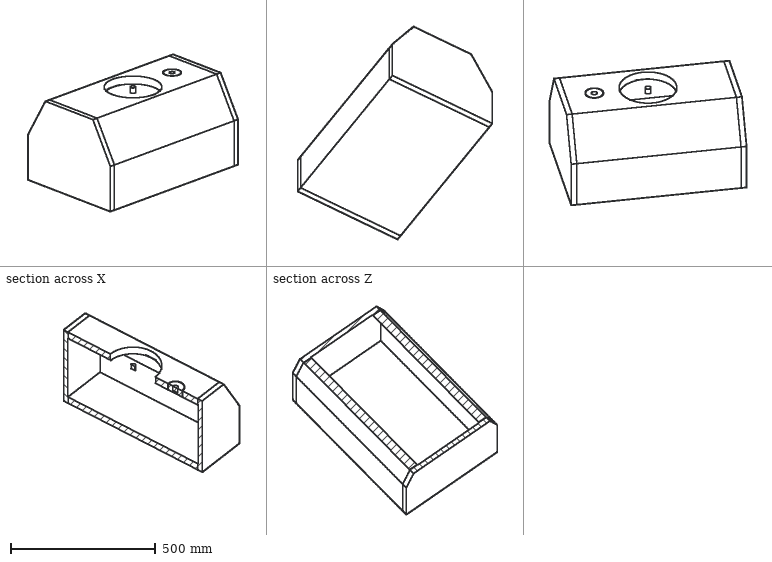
import cadquery as cq
import math

width = 410.0
length = 620.0
height = 320.0

side_height = 170.0
slope_angle = math.radians(60)
slope_inset = (height - side_height) / math.tan(slope_angle)
wall = 30.0
end_thickness = 20.0
shell_length = length - 2 * end_thickness

woofer_diameter = 200.0
woofer_y = 0.0
tweeter_y = 190.0
ring_outer_diameter = 64.5
ring_thickness = 2.0
disc_diameter = ring_outer_diameter - 2 * ring_thickness

pin_diameter = 20.0
pin_height = 20.0


def cabinet_profile():
    """Half-hexagon-like outline, centred on X and standing on Z = 0."""
    half_width = width / 2
    half_top = half_width - slope_inset
    return cq.Workplane("XZ").polyline([
        (-half_width, 0),
        (half_width, 0),
        (half_width, side_height),
        (half_top, height),
        (-half_top, height),
        (-half_width, side_height),
    ]).close()


def flush_cylinder(diameter, depth, y):
    """Upright cylinder whose upper end lies in the cabinet's top face."""
    return (
        cq.Workplane("XY", origin=(0, y, height - depth))
        .circle(diameter / 2)
        .extrude(depth)
    )


def make_shell():
    """Tube with even walls and two round openings through its top wall."""
    outer = cabinet_profile().extrude(shell_length / 2, both=True)
    cavity = cabinet_profile().offset2D(-wall).extrude(shell_length / 2, both=True)
    woofer_opening = flush_cylinder(woofer_diameter, wall, woofer_y)
    tweeter_opening = flush_cylinder(ring_outer_diameter, wall, tweeter_y)
    return outer.cut(cavity).cut(woofer_opening).cut(tweeter_opening)


def make_end_panel(front_y):
    """Solid panel that closes one end of the shell."""
    return cabinet_profile().extrude(-end_thickness).translate((0, front_y, 0))


def make_tweeter_ring():
    """Thin ring lining the small opening."""
    bore = flush_cylinder(disc_diameter, wall, tweeter_y)
    return flush_cylinder(ring_outer_diameter, wall, tweeter_y).cut(bore)


def make_pin(y):
    """Short pin at the centre of an opening."""
    return flush_cylinder(pin_diameter, pin_height, y)


def make_tweeter_disc():
    """Disc inside the ring, with a blind recess for its pin."""
    return flush_cylinder(disc_diameter, wall, tweeter_y).cut(make_pin(tweeter_y))


shell = make_shell()
end_panels = [make_end_panel(y) for y in (-length / 2, shell_length / 2)]
tweeter_ring = make_tweeter_ring()
tweeter_disc = make_tweeter_disc()
pins = [make_pin(y) for y in (woofer_y, tweeter_y)]

result = cq.Compound.makeCompound([
    shell.val(),
    *[panel.val() for panel in end_panels],
    tweeter_ring.val(),
    tweeter_disc.val(),
    *[pin.val() for pin in pins],
])